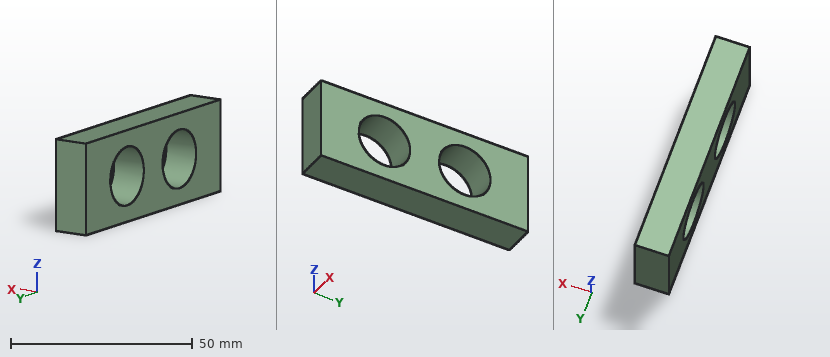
import cadquery as cq

thickness = 10.0
length = 67.0
height = 26.0

hole_diameter = 16.6
hole_spacing = 26.0

plate = cq.Workplane("XY").box(thickness, length, height)

result = (
    plate.faces("<X")
    .workplane()
    .rarray(hole_spacing, 0.7, 2, 1)
    .hole(hole_diameter)
)